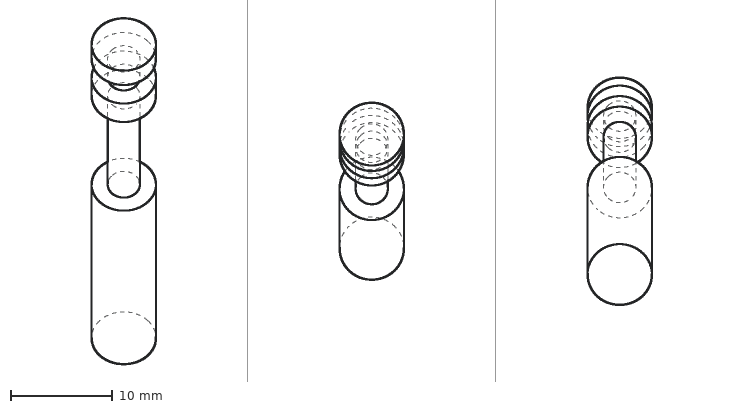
import cadquery as cq

total_length = 49.8
body_diameter = 6.35

stem_diameter = 3.2

body_length = 26.05
lower_collar_thickness = 3.15
collar_gap = 3.15
head_thickness = 2.45

head_base = total_length - head_thickness
lower_collar_base = head_base - collar_gap - lower_collar_thickness


def disc(diameter, base, height):
    """Solid cylinder on the Z axis, starting at the given height."""
    return cq.Workplane("XY").workplane(offset=base).circle(diameter / 2).extrude(height)


body = disc(body_diameter, 0, body_length)
stem = disc(stem_diameter, body_length, head_base - body_length)
lower_collar = disc(body_diameter, lower_collar_base, lower_collar_thickness)
head = disc(body_diameter, head_base, head_thickness)

result = body.union(stem).union(lower_collar).union(head)